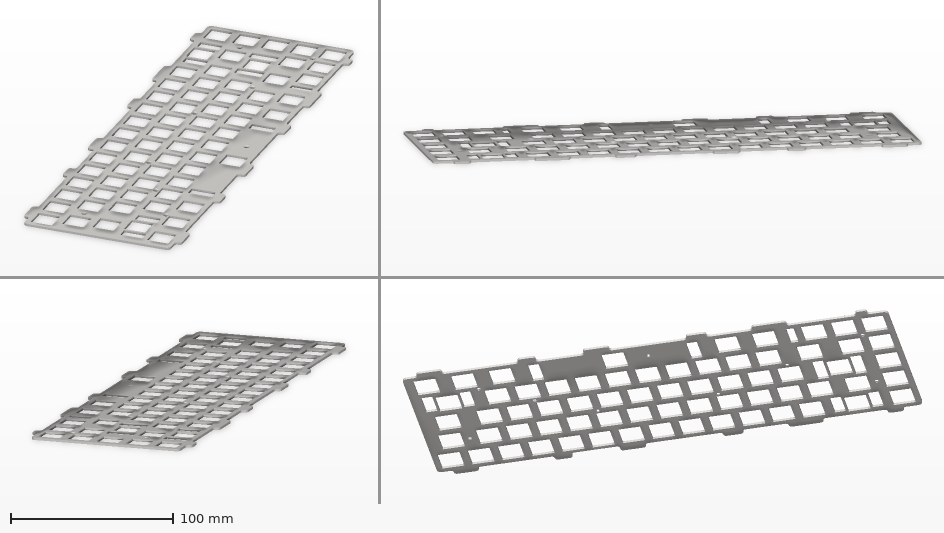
import cadquery as cq


length = 307.2
width = 97.0
thickness = 1.5
corner_radius = 2.8

tab_span = 104.8
tab_fillet = 1.8
top_tab_start = 141.0
short_top_tab_end = 134.0
long_top_tab_end = 131.0
shared_tabs = [(90.0, 68.2), (39.3, 26.7), (-22.0, -38.5), (-68.8, -80.0), (-128.0, -143.8)]
left_tabs = shared_tabs + [(top_tab_start, long_top_tab_end)]
right_tabs = shared_tabs + [(top_tab_start, short_top_tab_end)]

relief_depth = 1.0
relief_top = shared_tabs[2][1]
relief_bottom = shared_tabs[3][0]

key_unit = 19.0
row_length_units = 16
switch_size = 14.0

window_corner_radius = 0.45

number_row = -2
tab_row = -1
home_row = 0
shift_row = 1
space_row = 2

backspace = 14.0
enter = 13.875
left_shift = 1.125
space_bar = 6.875
key_rows = {
    number_row: [0.5 + i for i in range(13)] + [backspace, 15.5],
    tab_row: [0.75] + [2.0 + i for i in range(12)] + [14.25, 15.5],
    home_row: [0.875] + [2.25 + i for i in range(11)] + [enter, 15.5],
    shift_row: [left_shift] + [2.75 + i for i in range(10)] + [13.125, 14.5, 15.5],
    space_row: [0.625, 1.875, 3.125, space_bar, 10.625, 11.875, 13.5, 14.5, 15.5],
}

stab_length = 7.0
short_stab_spacing = 12.0
space_stab_spacing = 50.0
offset_stab_width = 14.7
offset_stab_shift = 1.2
enter_stab_width = 17.8
space_stab_width = 16.0
space_stab_shift = -1.0

slot_width = 14.0
slot_length = 5.0
slot_y = 91.0

screw_diameter = 2.3
countersink_diameter = 4.0
countersink_angle = 90
screw_spots = [
    (-1, 131.2),
    (1.5, 133.5),
    (0.5, 81.0),
    (-0.5, 33.2),
    (2, 0),
    (-0.5, -43.0),
    (0.5, -78.7),
    (1.5, -109.7),
    (-1, -126.3),
]


def row_x(row):
    return row * key_unit


def key_y(position):
    return (position - row_length_units / 2) * key_unit


def block(x_min, x_max, y_min, y_max):
    """Full-thickness block, centred on Z = 0."""
    size_x = x_max - x_min
    size_y = y_max - y_min
    centre = ((x_min + x_max) / 2, (y_min + y_max) / 2)
    return cq.Workplane("XY").box(size_x, size_y, thickness).translate((*centre, 0))


def outline_plate():
    half_width = width / 2
    half_length = length / 2
    half_span = tab_span / 2
    relief_floor = half_width - relief_depth

    plate = block(-half_width, half_width, -half_length, half_length)
    plate = plate.edges("|Z").fillet(corner_radius)
    plate = plate.cut(block(relief_floor, half_width, relief_bottom, relief_top))
    plate = plate.cut(block(-half_width, -relief_floor, relief_bottom, relief_top))

    for y_max, y_min in left_tabs:
        plate = plate.union(block(-half_span, -relief_floor, y_min, y_max))
    for y_max, y_min in right_tabs:
        plate = plate.union(block(relief_floor, half_span, y_min, y_max))

    inside_plate_corners = half_length - 2 * corner_radius
    tab_zone = cq.selectors.BoxSelector(
        (-tab_span, -inside_plate_corners, -thickness), (tab_span, inside_plate_corners, thickness)
    )
    return plate.edges("|Z").edges(tab_zone).fillet(tab_fillet)


def cut_windows(plate, points, size_x, size_y):
    windows = cq.Workplane("XY").pushPoints(points).box(size_x, size_y, thickness)
    windows = windows.edges("|Z").fillet(window_corner_radius)
    return plate.cut(windows)


def cut_stabilizers(plate, row, position, spacing, window_width, shift):
    x = row_x(row) + shift
    y = key_y(position)
    points = [(x, y - spacing), (x, y + spacing)]
    return cut_windows(plate, points, window_width, stab_length)


result = outline_plate()

for row, positions in key_rows.items():
    switch_points = [(row_x(row), key_y(position)) for position in positions]
    result = cut_windows(result, switch_points, switch_size, switch_size)

for row, position in [(number_row, backspace), (shift_row, left_shift)]:
    result = cut_stabilizers(
        result, row, position, short_stab_spacing, offset_stab_width, offset_stab_shift
    )
result = cut_stabilizers(result, home_row, enter, short_stab_spacing, enter_stab_width, shift=0)
result = cut_stabilizers(
    result, space_row, space_bar, space_stab_spacing, space_stab_width, space_stab_shift
)

result = cut_windows(result, [(row_x(space_row), slot_y)], slot_width, slot_length)

screw_points = [(row_x(row), y) for row, y in screw_spots]
top_face = result.faces(">Z").workplane(origin=(0, 0, 0))
result = top_face.pushPoints(screw_points).cskHole(screw_diameter, countersink_diameter, countersink_angle)